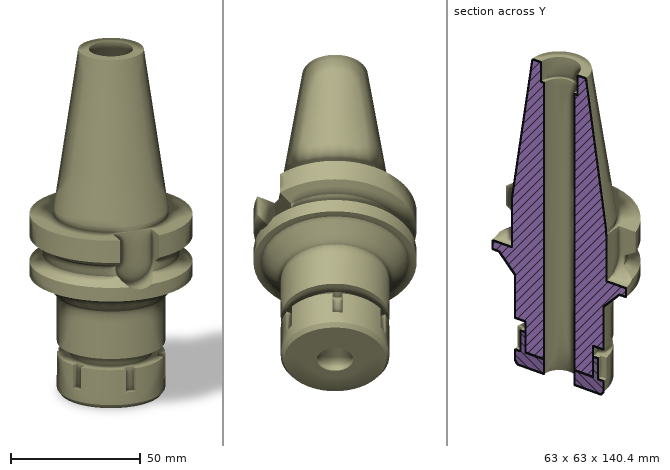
import cadquery as cq


total_height = 140.4

taper_top_diameter = 25.4
taper_gauge_diameter = 44.5
gauge_height = 75.0

flange_diameter = 63.0
flange_top = 73.0
upper_rim_bottom = 63.9
groove_diameter = 53.1
groove_top = 60.7
groove_bottom = 56.6
lower_rim_top = 53.6
flange_bottom = 48.0
flange_cone_diameter = 56.7

drive_slot_width = 16.1
drive_slot_bottom = 52.2
drive_slot_floor_offset = 22.5

body_diameter = 42.0
body_top = 40.2
body_bottom = 20.6
neck_diameter = 32.0

nut_diameter = 42.0
nut_height = 16.0
nut_chamfer_height = 1.7
nut_chamfer_width = 1.3
nut_slot_count = 6
nut_slot_width = 4.0
nut_slot_bottom = 6.6
nut_slot_floor_offset = 18.4

neck_bottom = nut_slot_bottom

top_bore_diameter = 17.0
top_bore_depth = 8.8
through_bore_diameter = 14.0


def revolve_about_z(points):
    """Turn a closed (radius, height) outline one full turn about the Z axis."""
    return cq.Workplane("XZ").polyline(points).close().revolve(360, (0, 0, 0), (0, 1, 0))


def cylinder(diameter, bottom, top):
    """Upright cylinder on the Z axis between two heights."""
    return cq.Workplane("XY").workplane(offset=bottom).circle(diameter / 2).extrude(top - bottom)


def drive_slot_cutter():
    """Round-bottomed slot that starts at its floor and runs out through the +X side of the flange."""
    radius = drive_slot_width / 2
    arc_height = drive_slot_bottom + radius
    return (
        cq.Workplane("YZ")
        .workplane(offset=drive_slot_floor_offset)
        .moveTo(-radius, flange_top)
        .lineTo(-radius, arc_height)
        .threePointArc((0, drive_slot_bottom), (radius, arc_height))
        .lineTo(radius, flange_top)
        .close()
        .extrude(flange_diameter / 2)
    )


def make_holder():
    """Taper shank, grooved flange, body and neck in one piece, with drive slots and a stepped bore."""
    holder = revolve_about_z([
        (0, neck_bottom),
        (neck_diameter / 2, neck_bottom),
        (neck_diameter / 2, body_bottom),
        (body_diameter / 2, body_bottom),
        (body_diameter / 2, body_top),
        (flange_cone_diameter / 2, flange_bottom),
        (flange_diameter / 2, flange_bottom),
        (flange_diameter / 2, lower_rim_top),
        (groove_diameter / 2, groove_bottom),
        (groove_diameter / 2, groove_top),
        (flange_diameter / 2, upper_rim_bottom),
        (flange_diameter / 2, flange_top),
        (taper_gauge_diameter / 2, flange_top),
        (taper_gauge_diameter / 2, gauge_height),
        (taper_top_diameter / 2, total_height),
        (0, total_height),
    ])
    slot = drive_slot_cutter()
    for angle in (0, 180):
        holder = holder.cut(slot.rotate((0, 0, 0), (0, 0, 1), angle))
    holder = holder.cut(cylinder(through_bore_diameter, 0, total_height))
    return holder.cut(cylinder(top_bore_diameter, total_height - top_bore_depth, total_height))


def make_nut():
    """Slotted ring, chamfered at its outer face, with a recess for the neck and a through bore."""
    radius = nut_diameter / 2
    nut = revolve_about_z([
        (0, 0),
        (radius - nut_chamfer_width, 0),
        (radius, nut_chamfer_height),
        (radius, nut_height),
        (0, nut_height),
    ])
    slot_cutter = (
        cq.Workplane("XY")
        .box(radius, nut_slot_width, nut_height, centered=(False, True, False))
        .translate((nut_slot_floor_offset, 0, nut_slot_bottom))
    )
    for index in range(nut_slot_count):
        nut = nut.cut(slot_cutter.rotate((0, 0, 0), (0, 0, 1), index * 360 / nut_slot_count))
    nut = nut.cut(cylinder(neck_diameter, neck_bottom, nut_height))
    return nut.cut(cylinder(through_bore_diameter, 0, nut_height))


holder = make_holder()
nut = make_nut()

result = cq.Compound.makeCompound([holder.val(), nut.val()])